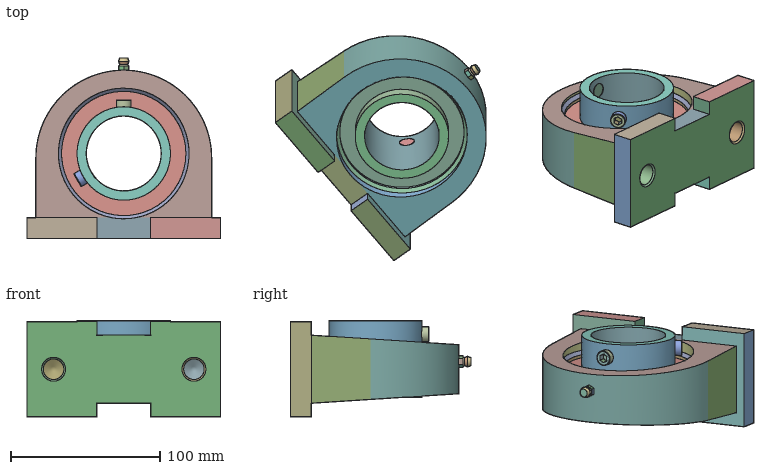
import cadquery as cq
import math


foot_length = 130.0
foot_height = 64.0
foot_thickness = 14.0
mounting_face_y = -57.1
foot_back_y = mounting_face_y + foot_thickness
notch_width = 36.0

housing_radius = 59.0
housing_arc_y = -3.1
housing_top_y = housing_arc_y + housing_radius
housing_base_height = 45.8
housing_tip_height = 33.0
notch_depth = (foot_height - housing_base_height) / 2

hole_spacing = 94.1
hole_diameter = 13.8
hole_mouth_diameter = 16.0
hole_depth = 26.0
drill_tip_angle = 118.0

recess_diameter = 87.6
bearing_face_diameter = 83.3
bearing_face_z = 11.2
recess_cone_bottom_z = 13.3
recess_cone_top_z = 15.6
ring_diameter = 62.7
bore_diameter = 50.0
ring_top_z = 32.6
ring_bottom_z = -18.8

screw_diameter = 10.0
screw_end_radius = 35.9
screw_z = 23.5
screw_angles = (90.0, 210.0)
screw_chamfer = 0.4
socket_across_corners = 6.0
socket_depth = 5.2

nipple_tip_y = 64.1
nipple_z = 5.1
nipple_hex_corners = 8.0
nipple_hex_end_y = 58.8
nipple_neck_y = 59.8
nipple_bulge_y = 61.6
nipple_shoulder_radius = 3.2
nipple_neck_radius = 2.7
nipple_bulge_radius = 3.6
nipple_tip_radius = 2.7
nipple_embedding = 2.6


def make_foot():
    foot = cq.Workplane("XY").box(foot_length, foot_thickness, foot_height)
    for side in (1, -1):
        notch = cq.Workplane("XY").box(notch_width, foot_thickness, notch_depth)
        foot = foot.cut(notch.translate((0, 0, side * (foot_height - notch_depth) / 2)))
    return foot.translate((0, mounting_face_y + foot_thickness / 2, 0))


def make_housing():
    outline = (
        cq.Workplane("XY", origin=(0, 0, -foot_height / 2))
        .moveTo(-housing_radius, foot_back_y)
        .lineTo(-housing_radius, housing_arc_y)
        .threePointArc((0, housing_top_y), (housing_radius, housing_arc_y))
        .lineTo(housing_radius, foot_back_y)
        .close()
        .extrude(foot_height)
    )
    taper = (
        cq.Workplane("YZ")
        .polyline([
            (foot_back_y, -housing_base_height / 2),
            (housing_top_y, -housing_tip_height / 2),
            (housing_top_y, housing_tip_height / 2),
            (foot_back_y, housing_base_height / 2),
        ])
        .close()
        .extrude(housing_radius, both=True)
    )
    return outline.intersect(taper)


def make_recess():
    """Stepped recess above the bearing face, open past the top of the housing."""
    face_radius = bearing_face_diameter / 2
    recess_radius = recess_diameter / 2
    opening_z = foot_height / 2
    return (
        cq.Workplane("XZ")
        .polyline([
            (0, bearing_face_z),
            (face_radius, bearing_face_z),
            (face_radius, recess_cone_bottom_z),
            (recess_radius, recess_cone_top_z),
            (recess_radius, opening_z),
            (0, opening_z),
        ])
        .close()
        .revolve(360, (0, 0, 0), (0, 1, 0))
    )


def make_mounting_hole(x):
    radius = hole_diameter / 2
    mouth_radius = hole_mouth_diameter / 2
    mouth_depth = mouth_radius - radius
    tip_depth = hole_depth + radius / math.tan(math.radians(drill_tip_angle / 2))
    return (
        cq.Workplane("XY")
        .polyline([
            (0, 0),
            (mouth_radius, 0),
            (radius, mouth_depth),
            (radius, hole_depth),
            (0, tip_depth),
        ])
        .close()
        .revolve(360, (0, 0, 0), (0, 1, 0))
        .translate((x, mounting_face_y, 0))
    )


def make_inner_ring():
    return (
        cq.Workplane("XY", origin=(0, 0, ring_bottom_z))
        .circle(ring_diameter / 2)
        .extrude(ring_top_z - ring_bottom_z)
    )


def make_set_screw(angle):
    """Socket set screw from the bore surface outwards, at an angle about Z."""
    screw_start = bore_diameter / 2
    screw = (
        cq.Workplane("YZ", origin=(screw_start, 0, 0))
        .circle(screw_diameter / 2)
        .extrude(screw_end_radius - screw_start)
        .faces(">X")
        .chamfer(screw_chamfer)
    )
    socket = (
        cq.Workplane("YZ", origin=(screw_end_radius, 0, 0))
        .transformed(rotate=(0, 0, 90))
        .polygon(6, socket_across_corners)
        .extrude(-socket_depth)
    )
    return screw.cut(socket).translate((0, 0, screw_z)).rotate((0, 0, 0), (0, 0, 1), angle)


def make_screw_hole(angle):
    """Threaded hole through the ring wall that the set screw fills."""
    return (
        cq.Workplane("YZ", origin=(0, 0, screw_z))
        .circle(screw_diameter / 2)
        .extrude(ring_diameter / 2)
        .rotate((0, 0, 0), (0, 0, 1), angle)
    )


def make_grease_nipple():
    start_y = housing_top_y - nipple_embedding
    hexagon = (
        cq.Workplane("XZ", origin=(0, start_y, 0))
        .transformed(rotate=(0, 0, 90))
        .polygon(6, nipple_hex_corners)
        .extrude(start_y - nipple_hex_end_y)
    )
    head = (
        cq.Workplane("XY")
        .polyline([
            (0, start_y),
            (nipple_shoulder_radius, start_y),
            (nipple_shoulder_radius, nipple_hex_end_y),
            (nipple_neck_radius, nipple_neck_y),
            (nipple_bulge_radius, nipple_bulge_y),
            (nipple_tip_radius, nipple_tip_y),
            (0, nipple_tip_y),
        ])
        .close()
        .revolve(360, (0, 0, 0), (0, 1, 0))
    )
    return hexagon.union(head).translate((0, 0, nipple_z))


recess = make_recess()
bore = (
    cq.Workplane("XY", origin=(0, 0, ring_bottom_z))
    .circle(bore_diameter / 2)
    .extrude(ring_top_z - ring_bottom_z)
)

result = make_foot().union(make_housing())
result = result.cut(recess).cut(recess.mirror("XY"))
for x in (-hole_spacing / 2, hole_spacing / 2):
    result = result.cut(make_mounting_hole(x))
result = result.union(make_inner_ring()).cut(bore)
for angle in screw_angles:
    result = result.cut(make_screw_hole(angle)).union(make_set_screw(angle))
result = result.union(make_grease_nipple())